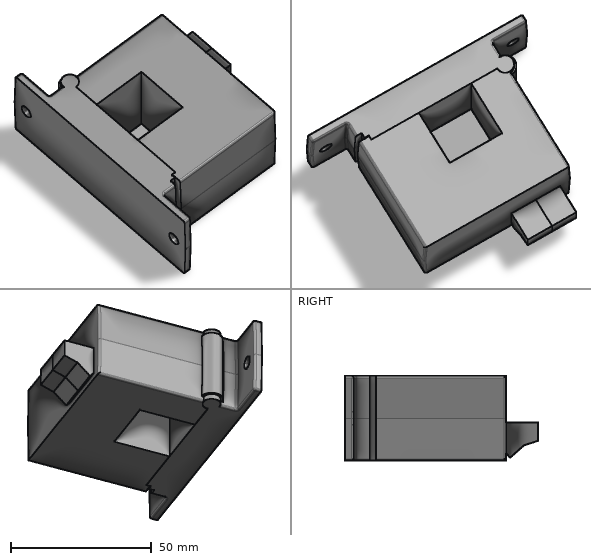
import cadquery as cq
import math


height = 30.2
half_height = height / 2
plate_length = 89.7
plate_thickness = 3.05
case_width = 60.8
case_back = 57.2
draft_angle = 2.0
edge_radius = 0.8
plate_hole_spacing = 77.3
plate_hole_diameter = 4.75

parting_y = 12.7
lip_start_x = 25.65
lip_bottom_y = 11.2
step_top_y = 10.9
notch_start_x = 27.4
notch_bottom_y = 8.9

window_size = 21.6
window_center_x = -4.75

hinge_x = -29.6
journal_radius = 3.2
barrel_radius = 4.0
barrel_clearance = 0.4
barrel_length = 26.0
journal_length = (height - barrel_length) / 2

terminal_count = 2
terminal_width = 10.05
terminals_start_x = -25.9
terminal_back = 68.6
terminal_top_z = -1.5
terminal_rear_bottom_z = -8.1
terminal_bend = (63.6, -9.7)
terminal_tip = (58.7, -14.1)
terminal_root_bottom_z = -12.5


def block(x_min, x_max, y_min, y_max):
    """Full-height block over a rectangle in plan."""
    return (
        cq.Workplane("XY", origin=(0, 0, -half_height))
        .moveTo(x_min, y_min)
        .lineTo(x_max, y_min)
        .lineTo(x_max, y_max)
        .lineTo(x_min, y_max)
        .close()
        .extrude(height)
    )


def drafted_prism(width, depth):
    """Prism from Y = 0 to depth, widest at mid height."""
    half_width = width / 2
    inset = half_height * math.tan(math.radians(draft_angle))
    section = [
        (half_width, 0),
        (half_width - inset, half_height),
        (inset - half_width, half_height),
        (-half_width, 0),
        (inset - half_width, -half_height),
        (half_width - inset, -half_height),
    ]
    return cq.Workplane("XZ").polyline(section).close().extrude(-depth)


def is_rounded(edge):
    """True for all edges but those of the front face, the mid-height ridges and the rear rims."""
    tolerance = 0.001
    center = edge.Center()
    on_front = abs(center.y) < tolerance
    on_ridge = abs(center.z) < tolerance
    on_rear_rim = abs(center.y - case_back) < tolerance and abs(abs(center.z) - half_height) < tolerance
    return not (on_front or on_ridge or on_rear_rim)


def make_envelope():
    """Plate and case in one piece with rounded edges, before parting."""
    sharp = drafted_prism(plate_length, plate_thickness).union(drafted_prism(case_width, case_back))
    rounded_edges = [edge for edge in sharp.edges().vals() if is_rounded(edge)]
    return sharp.newObject(rounded_edges).fillet(edge_radius)


def hinge_cylinder(radius, z_min, length):
    return cq.Workplane("XY", origin=(hinge_x, parting_y, z_min)).circle(radius).extrude(length)


def hinge_journals():
    lower = hinge_cylinder(journal_radius, -half_height, journal_length)
    upper = hinge_cylinder(journal_radius, barrel_length / 2, journal_length)
    return lower.union(upper)


def hinge_barrel(radius):
    return hinge_cylinder(radius, -barrel_length / 2, barrel_length)


def make_base(envelope):
    """Mounting plate with the lower part of the case and the two hinge journals."""
    far = plate_length
    base = envelope.intersect(block(-far, far, 0, parting_y))

    base = base.cut(block(lip_start_x, far, step_top_y, parting_y))
    base = base.cut(block(notch_start_x, far, notch_bottom_y, parting_y))

    base = base.cut(hinge_barrel(barrel_radius + barrel_clearance))
    base = base.union(hinge_journals())

    plate_holes = (
        cq.Workplane("XZ")
        .pushPoints([(-plate_hole_spacing / 2, 0), (plate_hole_spacing / 2, 0)])
        .circle(plate_hole_diameter / 2)
        .extrude(-plate_thickness)
    )
    return base.cut(plate_holes)


def make_housing(envelope):
    """Upper part of the case with its window, lip and hinge barrel."""
    far = plate_length
    above_parting = block(-far, far, parting_y, case_back)
    lip = block(lip_start_x, far, lip_bottom_y, parting_y)
    housing = envelope.intersect(above_parting.union(lip))

    window = block(
        window_center_x - window_size / 2,
        window_center_x + window_size / 2,
        parting_y,
        parting_y + window_size,
    )
    return housing.cut(window).cut(hinge_journals()).union(hinge_barrel(barrel_radius))


def make_terminal(x_min):
    """Terminal block on the rear wall, with a sloped underside ending in a point."""
    profile = [
        (case_back, terminal_top_z),
        (terminal_back, terminal_top_z),
        (terminal_back, terminal_rear_bottom_z),
        terminal_bend,
        terminal_tip,
        (case_back, terminal_root_bottom_z),
    ]
    return cq.Workplane("YZ", origin=(x_min, 0, 0)).polyline(profile).close().extrude(terminal_width)


case_envelope = make_envelope()
base = make_base(case_envelope)
housing = make_housing(case_envelope)
terminals = [make_terminal(terminals_start_x + i * terminal_width) for i in range(terminal_count)]

result = cq.Compound.makeCompound(
    [base.solids().val(), housing.solids().val()] + [terminal.val() for terminal in terminals]
)